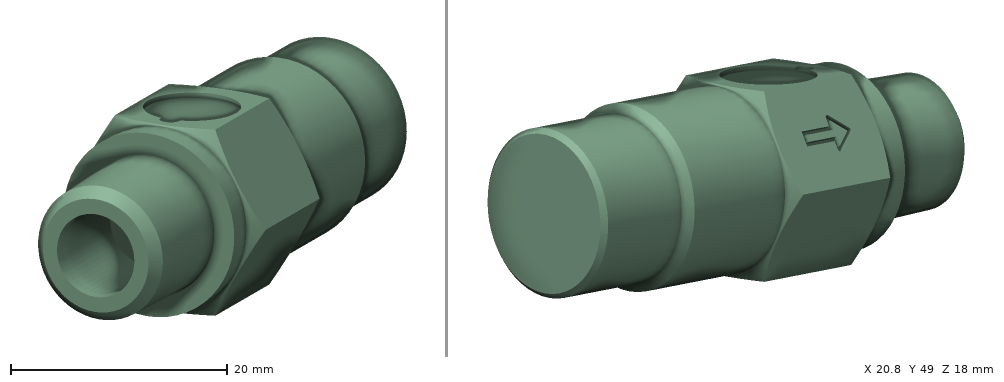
import cadquery as cq
import math


SPIGOT_END = 11.0
HEX_START = 13.5
HEX_LENGTH = 13.0
HEX_END = HEX_START + HEX_LENGTH
HEX_MIDDLE = HEX_START + HEX_LENGTH / 2
SHOULDER_END = 39.0
TOTAL_LENGTH = 49.0

SPIGOT_ROOT_RADIUS = 6.77
SPIGOT_TAPER = 1 / 16
SPIGOT_CHAMFER = 1.0
SPIGOT_TIP_RADIUS = SPIGOT_ROOT_RADIUS - SPIGOT_TAPER * (SPIGOT_END - SPIGOT_CHAMFER) / 2
BODY_RADIUS = 8.85
TAIL_RADIUS = 8.0
SHOULDER_CHAMFER = BODY_RADIUS - TAIL_RADIUS
TAIL_CHAMFER = 0.5

BORE_RADIUS = 4.0
BORE_DEPTH = SPIGOT_END

HEX_ACROSS_FLATS = 18.0
HEX_APOTHEM = HEX_ACROSS_FLATS / 2
HEX_CORNER_RADIUS = HEX_APOTHEM / math.cos(math.radians(30))
HEX_CHAMFER_ANGLE = 30.0
HEX_CHAMFER_LENGTH = (HEX_CORNER_RADIUS - BODY_RADIUS) * math.tan(math.radians(HEX_CHAMFER_ANGLE))

RECESS_RADIUS = 4.55
NOTCH_RADIUS = 1.0
NOTCH_OFFSET = 4.5
RECESS_DEPTH = 0.5
NOTCH_DEPTH = 0.3

ARROW_TAIL = 2.95
ARROW_BARB = -0.6
ARROW_TIP = -3.25
ARROW_HEAD_HALF_WIDTH = 2.1
ARROW_SHAFT_HALF_WIDTH = 0.75
ARROW_GROOVE_WIDTH = 0.4
ARROW_HEAD_ROUNDING = 0.25
ARROW_DEPTH = 0.5
ARROW_TILT = -60.0


def revolve_about_y(points):
    """Turn a closed (radius, Y) outline about the Y axis."""
    return cq.Workplane("XY").polyline(points).close().revolve(360, (0, 0, 0), (0, 1, 0))


def turned_body():
    return revolve_about_y([
        (0, 0),
        (SPIGOT_TIP_RADIUS - SPIGOT_CHAMFER, 0),
        (SPIGOT_TIP_RADIUS, SPIGOT_CHAMFER),
        (SPIGOT_ROOT_RADIUS, SPIGOT_END),
        (BODY_RADIUS, SPIGOT_END),
        (BODY_RADIUS, SHOULDER_END - SHOULDER_CHAMFER),
        (TAIL_RADIUS, SHOULDER_END),
        (TAIL_RADIUS, TOTAL_LENGTH - TAIL_CHAMFER),
        (TAIL_RADIUS - TAIL_CHAMFER, TOTAL_LENGTH),
        (0, TOTAL_LENGTH),
    ])


def chamfered_hexagon():
    """Hexagon with flats at top and bottom, its corners turned off at both ends."""
    prism = (
        cq.Workplane("XZ", origin=(0, HEX_END, 0))
        .polygon(6, 2 * HEX_CORNER_RADIUS)
        .extrude(HEX_LENGTH)
    )
    envelope = revolve_about_y([
        (0, HEX_START),
        (BODY_RADIUS, HEX_START),
        (HEX_CORNER_RADIUS, HEX_START + HEX_CHAMFER_LENGTH),
        (HEX_CORNER_RADIUS, HEX_END - HEX_CHAMFER_LENGTH),
        (BODY_RADIUS, HEX_END),
        (0, HEX_END),
    ])
    return prism.intersect(envelope)


def bore():
    return cq.Workplane("XZ").circle(BORE_RADIUS).extrude(-BORE_DEPTH)


def top_flat_pocket(depth):
    """Workplane at the given depth below the centre of the top flat."""
    return cq.Workplane("XY", origin=(0, HEX_MIDDLE, HEX_APOTHEM - depth))


def label_recess():
    disc = top_flat_pocket(RECESS_DEPTH).circle(RECESS_RADIUS).extrude(RECESS_DEPTH)
    notch = (
        top_flat_pocket(NOTCH_DEPTH)
        .center(0, -NOTCH_OFFSET)
        .circle(NOTCH_RADIUS)
        .extrude(NOTCH_DEPTH)
    )
    return disc.union(notch)


def arrow_outline():
    return top_flat_pocket(ARROW_DEPTH).polyline([
        (-ARROW_SHAFT_HALF_WIDTH, ARROW_TAIL),
        (ARROW_SHAFT_HALF_WIDTH, ARROW_TAIL),
        (ARROW_SHAFT_HALF_WIDTH, ARROW_BARB),
        (ARROW_HEAD_HALF_WIDTH, ARROW_BARB),
        (0, ARROW_TIP),
        (-ARROW_HEAD_HALF_WIDTH, ARROW_BARB),
        (-ARROW_SHAFT_HALF_WIDTH, ARROW_BARB),
    ]).close()


def flow_arrow():
    """Groove along the inside of the arrow outline, leaving an island level with the flat.

    It is laid out on the top flat, then swung about Y onto its own flat.
    """
    island = arrow_outline().offset2D(-ARROW_GROOVE_WIDTH, "intersection").extrude(ARROW_DEPTH)
    groove = (
        arrow_outline()
        .extrude(ARROW_DEPTH)
        .edges("(|Z) and (<X or >X or <Y)")
        .fillet(ARROW_HEAD_ROUNDING)
        .cut(island)
    )
    return groove.rotate((0, 0, 0), (0, 1, 0), ARROW_TILT)


result = turned_body().union(chamfered_hexagon())
for pocket in (bore(), label_recess(), flow_arrow()):
    result = result.cut(pocket)